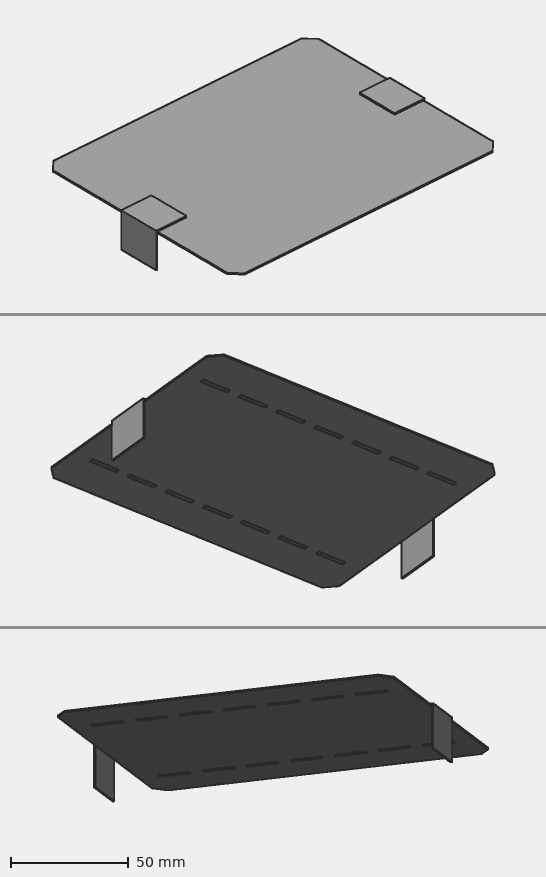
import cadquery as cq

plate_width = 120.0
plate_length = 153.0
plate_thickness = 0.75
corner_chamfer = 5.2
plate_top = 0.0

ribs_per_row = 7
rib_pitch = 20.05
rib_length = 14.0
rib_width = 2.0
rib_protrusion = 0.25
rib_row_spacing = 78.2

clip_width = 22.0
clip_height = 19.88
clip_thickness = 0.75
clip_reach = 17.4


def make_ribs():
    """Strips of both rows, each running through the full thickness of the plate."""
    return (
        cq.Workplane("XY", origin=(0, 0, plate_top))
        .rarray(rib_row_spacing, rib_pitch, 2, ribs_per_row)
        .rect(rib_width, rib_length)
        .extrude(-(plate_thickness + rib_protrusion))
    )


def make_plate():
    """Sheet with its ribs as one solid; the rib outlines stay as seams on the top face."""
    sheet = (
        cq.Workplane("XY", origin=(0, 0, plate_top))
        .rect(plate_width, plate_length)
        .extrude(-plate_thickness)
        .edges("|Z")
        .chamfer(corner_chamfer)
    )
    return sheet.union(make_ribs(), clean=False)


def make_clip(end):
    """Angle clip on one end of the plate: +1 for the +Y end, -1 for the -Y end."""
    inner_face = end * plate_length / 2
    outer_face = inner_face + end * clip_thickness
    tip = outer_face - end * clip_reach
    clip_top = plate_top + clip_thickness
    clip_bottom = clip_top - clip_height
    profile = [
        (outer_face, clip_bottom),
        (outer_face, clip_top),
        (tip, clip_top),
        (tip, plate_top),
        (inner_face, plate_top),
        (inner_face, clip_bottom),
    ]
    return cq.Workplane("YZ").polyline(profile).close().extrude(clip_width / 2, both=True)


plate = make_plate()
clips = [make_clip(end) for end in (-1, 1)]
result = cq.Compound.makeCompound([plate.val(), *[clip.val() for clip in clips]])